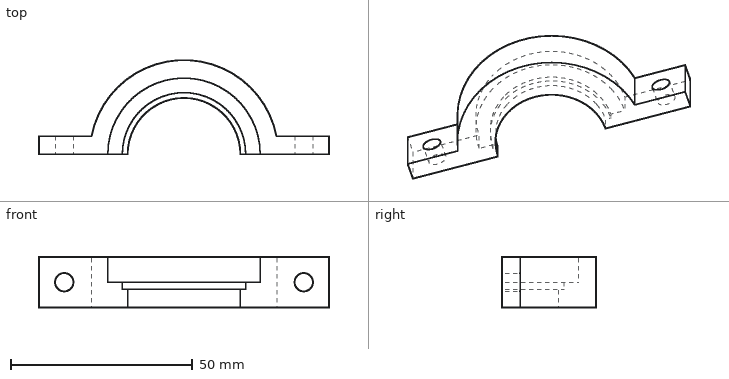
import cadquery as cq

height = 14.0
outer_radius = 26.0
flange_span = 80.0
flange_thickness = 5.0

through_radius = 15.5
recess_radius = 17.0
recess_floor = 5.0
seat_radius = 21.0
seat_floor = 7.0

hole_diameter = 5.0
hole_spacing = 66.0


def half_disc(radius, bottom, top):
    """Half cylinder on the +Y side of the parting plane Y = 0."""
    return (
        cq.Workplane("XY")
        .workplane(offset=bottom)
        .moveTo(radius, 0)
        .threePointArc((0, radius), (-radius, 0))
        .close()
        .extrude(top - bottom)
    )


def flange():
    """Flat bar lying along the parting plane."""
    return cq.Workplane("XY").box(
        flange_span, flange_thickness, height, centered=(True, False, False)
    )


def mounting_hole(x):
    """Cylinder along +Y through the flange at mid-height."""
    return (
        cq.Workplane("XZ")
        .center(x, height / 2)
        .circle(hole_diameter / 2)
        .extrude(-flange_thickness)
    )


result = half_disc(outer_radius, 0, height).union(flange())

bore_steps = [
    (through_radius, 0),
    (recess_radius, recess_floor),
    (seat_radius, seat_floor),
]
for step_radius, step_floor in bore_steps:
    result = result.cut(half_disc(step_radius, step_floor, height))

for side in (-1, 1):
    result = result.cut(mounting_hole(side * hole_spacing / 2))